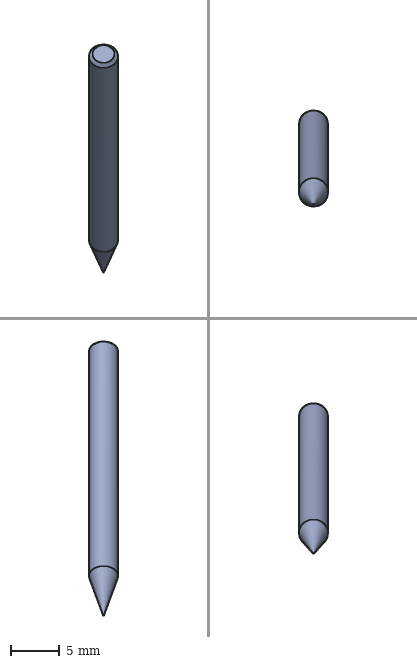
import cadquery as cq

overall_length = 38.1
shank_diameter = 3.0
point_length = 5.6
tip_diameter = 0.1
chamfer_size = 0.4

shank_length = overall_length - point_length
shank_radius = shank_diameter / 2
tip_radius = tip_diameter / 2


def make_shank():
    """Cylinder standing on the base of the point, with its top rim chamfered."""
    return (
        cq.Workplane("XY")
        .workplane(offset=point_length)
        .circle(shank_radius)
        .extrude(shank_length)
        .faces(">Z")
        .edges()
        .chamfer(chamfer_size)
    )


def make_point():
    """Cone with its small flat tip at the origin and its base against the shank."""
    return (
        cq.Workplane("XZ")
        .polyline([(0, 0), (tip_radius, 0), (shank_radius, point_length), (0, point_length)])
        .close()
        .revolve(360, (0, 0, 0), (0, 1, 0))
    )


shank = make_shank()
point = make_point()

result = cq.Compound.makeCompound([shank.val(), point.val()])